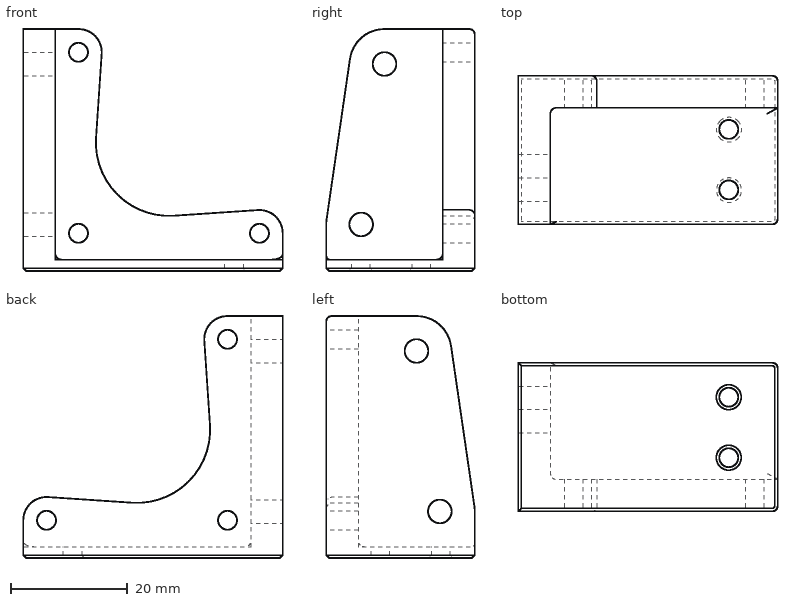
import cadquery as cq
import math

LENGTH = 44.5
DEPTH = 25.5
HEIGHT = 41.5

WALL = 5.5
FLOOR = 2.0
EDGE_RADIUS = 1.0
BOTTOM_CHAMFER = 0.55

PITCH = 31.0
EAR_RADIUS = 4.0
BORE_RADIUS = 12.5
MOUNT_HOLE = 3.2

LOBE_RADIUS = 6.0
SIDE_HOLE = 4.0
LOWER_LOBE_Z = 8.0
UPPER_LOBE_FROM_BACK = 15.5

FLOOR_HOLE = 3.2
FLOOR_HOLE_X = 36.1
FLOOR_HOLE_Y = 5.9
FLOOR_HOLE_SPACING = 10.35

RIGHT_RUNOUT = 1.8
FRONT_RUNOUT = 0.5

plate_front = DEPTH - WALL
right_hole_x = LENGTH - EAR_RADIUS
left_hole_x = right_hole_x - PITCH
top_hole_z = HEIGHT - EAR_RADIUS
low_hole_z = top_hole_z - PITCH
bore_x = left_hole_x + PITCH / 2
bore_z = low_hole_z + PITCH / 2
side_holes = [
    (DEPTH - UPPER_LOBE_FROM_BACK, HEIGHT - LOBE_RADIUS),
    (LOBE_RADIUS, LOWER_LOBE_Z),
]


def polar(center, radius, angle):
    """Point at the given radius and angle (radians) from a center."""
    return (center[0] + radius * math.cos(angle), center[1] + radius * math.sin(angle))


def make_floor():
    floor = cq.Workplane("XY").box(LENGTH, DEPTH, FLOOR, centered=False)
    return floor.edges("|Z and >X and <Y").fillet(EDGE_RADIUS)


def make_side_wall():
    """Wall at X = 0; its sloped front edge is tangent to two equal lobes."""
    upper, lower = side_holes
    tilt = math.atan2(upper[0] - lower[0], upper[1] - lower[1])
    tangent = math.pi - tilt
    upper_mid = (tangent + math.pi / 2) / 2
    lower_mid = (tangent + math.pi) / 2
    return (
        cq.Workplane("YZ")
        .moveTo(0, 0)
        .lineTo(DEPTH, 0)
        .lineTo(DEPTH, HEIGHT)
        .lineTo(upper[0], HEIGHT)
        .threePointArc(polar(upper, LOBE_RADIUS, upper_mid), polar(upper, LOBE_RADIUS, tangent))
        .lineTo(*polar(lower, LOBE_RADIUS, tangent))
        .threePointArc(polar(lower, LOBE_RADIUS, lower_mid), (0, lower[1]))
        .close()
        .extrude(WALL)
    )


def make_back_plate():
    """L-shaped plate; straight edges run tangent from each ear to the clearance arc."""
    top_ear = (left_hole_x, top_hole_z)
    right_ear = (right_hole_x, low_hole_z)
    bore = (bore_x, bore_z)
    center_distance = math.hypot(PITCH / 2, PITCH / 2)
    lean = math.asin((EAR_RADIUS + BORE_RADIUS) / center_distance) - math.pi / 4
    top_angle = -lean
    right_angle = math.pi / 2 + lean
    return (
        cq.Workplane("XZ", origin=(0, DEPTH, 0))
        .moveTo(0, 0)
        .lineTo(LENGTH, 0)
        .lineTo(LENGTH, low_hole_z)
        .threePointArc(
            polar(right_ear, EAR_RADIUS, right_angle / 2),
            polar(right_ear, EAR_RADIUS, right_angle),
        )
        .lineTo(*polar(bore, BORE_RADIUS, right_angle + math.pi))
        .threePointArc(
            polar(bore, BORE_RADIUS, math.radians(225)),
            polar(bore, BORE_RADIUS, top_angle + math.pi),
        )
        .lineTo(*polar(top_ear, EAR_RADIUS, top_angle))
        .threePointArc(
            polar(top_ear, EAR_RADIUS, (top_angle + math.pi / 2) / 2),
            (left_hole_x, HEIGHT),
        )
        .lineTo(0, HEIGHT)
        .close()
        .extrude(WALL)
    )


def edge_through(x, y, z):
    """Selector for the edge whose middle lies closest to a point."""
    return cq.selectors.NearestToPointSelector((x, y, z))


def round_inner_corners(body):
    """Fillet the three edges where the side wall, back plate and floor meet."""
    wall_to_plate = edge_through(WALL, plate_front, (FLOOR + HEIGHT) / 2)
    wall_to_floor = edge_through(WALL, plate_front / 2, FLOOR)
    plate_to_floor = edge_through((WALL + LENGTH) / 2, plate_front, FLOOR)
    corners = body.edges(wall_to_plate).add(body.edges(wall_to_floor)).add(body.edges(plate_to_floor))
    return corners.fillet(EDGE_RADIUS)


def round_rear_rim(body):
    """Fillet the rear outline except along the left side and the bottom."""
    return body.faces(">Y").edges("not(<X or <Z)").fillet(EDGE_RADIUS)


def fillet_runouts():
    """Wedges that taper the open ends of the two floor fillets."""
    right_end = [
        (LENGTH, plate_front),
        (LENGTH, plate_front - EDGE_RADIUS),
        (LENGTH - RIGHT_RUNOUT, plate_front - EDGE_RADIUS),
    ]
    front_end = [
        (WALL, 0),
        (WALL + EDGE_RADIUS, 0),
        (WALL + EDGE_RADIUS, FRONT_RUNOUT),
    ]
    plane = cq.Workplane("XY", origin=(0, 0, FLOOR))
    right_wedge = plane.polyline(right_end).close().extrude(EDGE_RADIUS)
    front_wedge = plane.polyline(front_end).close().extrude(EDGE_RADIUS)
    return right_wedge.union(front_wedge)


def hole_cutters():
    mount_points = [
        (left_hole_x, low_hole_z),
        (right_hole_x, low_hole_z),
        (left_hole_x, top_hole_z),
    ]
    floor_points = [(FLOOR_HOLE_X, FLOOR_HOLE_Y + i * FLOOR_HOLE_SPACING) for i in range(2)]
    mount = (
        cq.Workplane("XZ", origin=(0, DEPTH, 0))
        .pushPoints(mount_points)
        .circle(MOUNT_HOLE / 2)
        .extrude(WALL)
    )
    side = cq.Workplane("YZ").pushPoints(side_holes).circle(SIDE_HOLE / 2).extrude(WALL)
    floor = cq.Workplane("XY").pushPoints(floor_points).circle(FLOOR_HOLE / 2).extrude(FLOOR)
    return mount.add(side).add(floor)


body = make_floor().union(make_side_wall()).union(make_back_plate())
body = round_inner_corners(body)
body = round_rear_rim(body)
body = body.cut(fillet_runouts())
for cutter in hole_cutters().vals():
    body = body.cut(cq.Workplane(cutter))

result = body.faces("<Z").edges().chamfer(BOTTOM_CHAMFER)